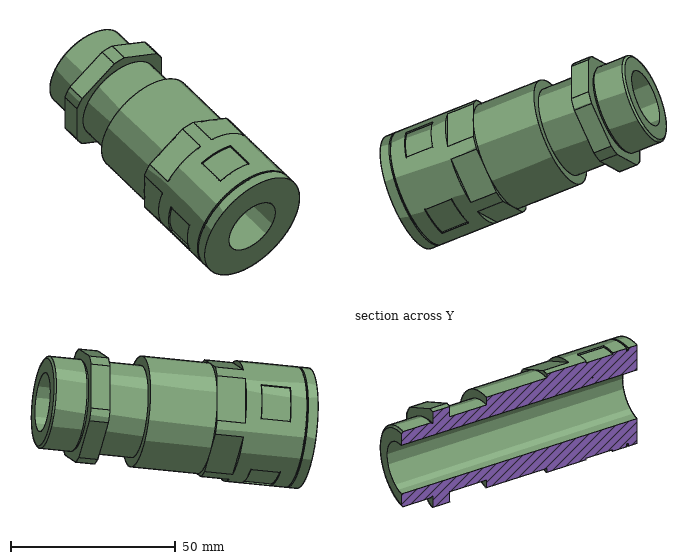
import cadquery as cq

length = 82.0
outer_diameter = 37.0
bore_diameter = 18.0

thread_diameter = 28.3
thread_end = 10.25
thread_chamfer_length = 0.6
thread_chamfer_depth = 0.7
runout_depth = 0.6

nut_start = 10.9
nut_end = 16.9
nut_across_flats = 32.9
nut_corner_diameter = 35.9

body_start = 29.5
body_diameter = 34.0
wrench_start = 50.5
wrench_end = 59.4
wrench_across_flats = 33.95

window_start = 64.3
window_end = 73.5
window_width = 11.15
window_floor_diameter = 35.8
window_count = 4

groove_start = 78.4
groove_end = 78.9
groove_diameter = 35.0


def cylinder(start, end, diameter):
    """Solid cylinder on the X axis."""
    return cq.Workplane("YZ").workplane(offset=start).circle(diameter / 2).extrude(end - start)


def rounded_hexagon(start, end, across_flats, corner_diameter):
    """Hexagon with flats facing +Y and -Y, its corners turned to a cylinder."""
    blank = cylinder(start, end, corner_diameter)
    for angle in (0, 60, 120):
        slab = cq.Workplane("XY").box(length, across_flats, 2 * corner_diameter)
        slab = slab.translate(((start + end) / 2, 0, 0))
        blank = blank.intersect(slab.rotate((0, 0, 0), (1, 0, 0), angle))
    return blank


def threaded_end():
    """Neck with a chamfered tip and a tapered runout in front of the nut."""
    radius = thread_diameter / 2
    profile = (
        cq.Workplane("XY")
        .moveTo(0, 0)
        .lineTo(0, radius - thread_chamfer_depth)
        .lineTo(thread_chamfer_length, radius)
        .lineTo(thread_end, radius)
        .lineTo(nut_start, radius - runout_depth)
        .lineTo(nut_start, radius)
        .lineTo(body_start, radius)
        .lineTo(body_start, 0)
        .close()
    )
    return profile.revolve(360, (0, 0, 0), (1, 0, 0))


def window_cutter(angle):
    """Straight-sided block around +Z, with a floor concentric with the body."""
    block = cq.Workplane("XY").box(
        window_end - window_start, window_width, outer_diameter, centered=(False, True, False)
    )
    block = block.translate((window_start, 0, 0))
    cutter = block.cut(cylinder(window_start, window_end, window_floor_diameter))
    return cutter.rotate((0, 0, 0), (1, 0, 0), angle)


result = threaded_end()
result = result.union(rounded_hexagon(nut_start, nut_end, nut_across_flats, nut_corner_diameter))
result = result.union(cylinder(body_start, wrench_start, body_diameter))
result = result.union(rounded_hexagon(wrench_start, wrench_end, wrench_across_flats, outer_diameter))
result = result.union(cylinder(wrench_end, groove_start, outer_diameter))
result = result.union(cylinder(groove_start, groove_end, groove_diameter))
result = result.union(cylinder(groove_end, length, outer_diameter))

for index in range(window_count):
    result = result.cut(window_cutter(index * 360 / window_count))

result = result.cut(cylinder(0, length, bore_diameter))